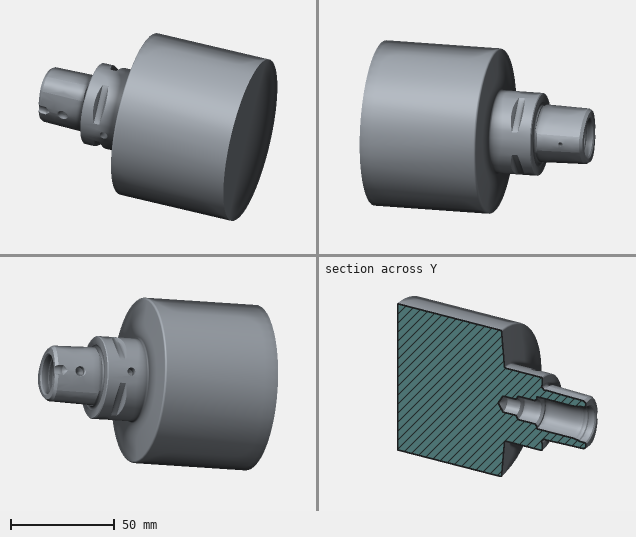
import cadquery as cq
import math

total_length = 104.0
polygon_end = 22.4
flange_face = 24.0
flange_end = 44.8
body_start = 46.5

body_radius = 80.0 / 2
flange_radius = 40.0 / 2
flange_chamfer = 0.4
flange_fillet_radius = 0.8
body_corner_radius = 0.99

lobe_reach = 14.9
flank_reach = 13.1
shank_taper = math.atan(1 / 40)
tip_chamfer = 1.5
tip_chamfer_inset = 0.9

neck_start = 23.5
neck_radius = 13.9
relief_depth = 0.3
relief_bottom_radius = 15.0
relief_outer_radius = 15.8
neck_inset = 0.1
lobe_relief_start = 22.2
lobe_relief_end = 22.9

bore_mouth_radius = 10.1
bore_entry_radius = 9.5
bore_seat_radius = 18.0 / 2
bore_step_radius = 8.7
bore_radius = 8.6
bore_entry_depth = 3.7
bore_seat_depth = 5.6
bore_step_depth = 6.3
bore_step_end = 7.8
bore_depth = 27.0
pilot_mouth_radius = 7.4
pilot_radius = 6.2
pilot_depth = 37.4
drill_radius = 4.3
drill_depth = 45.8
drill_half_angle = math.radians(59)

groove_center = 32.1
groove_floor_width = 2.8
groove_floor_distance = 17.6
groove_wall_angle = math.radians(30)
groove_angles = [45, 135, 225, 315]

notch_radius = 2.5
notch_offset = 13.1
notch_depth = 4.0
notch_half_angle = math.radians(45)
shank_hole_center = 12.6
shank_hole_radius = 2.3
shank_hole_countersink = 0.36
shank_hole_depth = 2.7
flange_hole_center = 36.1
flange_hole_radius = 2.0
flange_hole_depth = 4.2
hole_clearance = 0.5

cross_hole_center = 10.6
cross_hole_radius = 0.99


def revolve_about_x(points):
    """Solid of revolution about X from a closed outline of (x, radius) points."""
    return cq.Workplane("XY").polyline(points).close().revolve(360, (0, 0), (1, 0))


def polygon_section(x, inset):
    """Outline of the three-lobed polygon at x, offset inward by inset."""
    lobe_center = (lobe_reach - flank_reach) / (2 - math.sqrt(3))
    lobe_radius = lobe_reach - lobe_center - inset
    flank_radius = flank_reach + lobe_center - inset

    def point(center_angle, radius, direction):
        center = math.radians(center_angle)
        normal = math.radians(direction)
        return (
            lobe_center * math.cos(center) + radius * math.cos(normal),
            lobe_center * math.sin(center) + radius * math.sin(normal),
        )

    outline = cq.Workplane("YZ", origin=(x, 0, 0)).moveTo(*point(0, lobe_radius, -30))
    for angle in (0, 120, 240):
        outline = outline.threePointArc(
            point(angle, lobe_radius, angle), point(angle, lobe_radius, angle + 30)
        )
        outline = outline.threePointArc(
            point(angle + 240, flank_radius, angle + 60),
            point(angle + 120, lobe_radius, angle + 90),
        )
    return outline.close().wire().val()


def polygon_neck():
    """Untapered, slightly inset stub that joins the polygon to the flange."""
    start = polygon_section(polygon_end, neck_inset)
    end = polygon_section(flange_face, neck_inset)
    return cq.Workplane(cq.Solid.makeLoft([start, end], True))


def polygon_shank():
    """Tapered polygon with a chamfered tip and turned-down lobe ends."""
    def inset_at(x):
        return (polygon_end - x) * math.tan(shank_taper)

    tip = polygon_section(0, inset_at(tip_chamfer) + tip_chamfer_inset)
    shoulder = polygon_section(tip_chamfer, inset_at(tip_chamfer))
    end = polygon_section(polygon_end, inset_at(polygon_end))
    chamfer = cq.Solid.makeLoft([tip, shoulder], True)
    taper = cq.Solid.makeLoft([shoulder, end], True)
    shank = cq.Workplane(chamfer).union(cq.Workplane(taper)).union(polygon_neck())
    envelope = revolve_about_x(
        [
            (0, 0),
            (0, body_radius),
            (lobe_relief_start, body_radius),
            (lobe_relief_start, lobe_reach),
            (lobe_relief_end, neck_radius),
            (flange_face, neck_radius),
            (flange_face, 0),
        ]
    )
    return shank.intersect(envelope)


def turned_body():
    """Neck, relieved flange and large cylindrical body in one turned outline."""
    face_tilt = math.atan((body_start - flange_end) / (body_radius - flange_radius))
    tangent_ratio = math.tan((math.pi / 2 - face_tilt) / 2)
    fillet_length = flange_fillet_radius * tangent_ratio
    corner_length = body_corner_radius * tangent_ratio

    def on_face(x, radius, distance):
        """Point on the tilted face, at a signed distance outward from (x, radius)."""
        return (x + distance * math.sin(face_tilt), radius + distance * math.cos(face_tilt))

    return (
        cq.Workplane("XY")
        .moveTo(neck_start, 0)
        .lineTo(neck_start, neck_radius)
        .threePointArc(
            (flange_face + relief_depth, relief_bottom_radius),
            (flange_face, relief_outer_radius),
        )
        .lineTo(flange_face, flange_radius - flange_chamfer)
        .lineTo(flange_face + flange_chamfer, flange_radius)
        .lineTo(flange_end - fillet_length, flange_radius)
        .tangentArcPoint(on_face(flange_end, flange_radius, fillet_length), relative=False)
        .lineTo(*on_face(body_start, body_radius, -corner_length))
        .tangentArcPoint((body_start + corner_length, body_radius), relative=False)
        .lineTo(total_length, body_radius)
        .lineTo(total_length, 0)
        .close()
        .revolve(360, (0, 0), (1, 0))
    )


def bore():
    """Stepped blind bore that enters from the shank tip."""
    drill_start = pilot_depth + (pilot_radius - drill_radius) / math.tan(drill_half_angle)
    return revolve_about_x(
        [
            (0, 0),
            (0, bore_mouth_radius),
            (bore_mouth_radius - bore_entry_radius, bore_entry_radius),
            (bore_entry_depth, bore_entry_radius),
            (bore_entry_depth + bore_entry_radius - bore_seat_radius, bore_seat_radius),
            (bore_seat_depth, bore_seat_radius),
            (bore_step_depth, bore_step_radius),
            (bore_step_end, bore_radius),
            (bore_depth, bore_radius),
            (bore_depth, pilot_mouth_radius),
            (bore_depth + pilot_mouth_radius - pilot_radius, pilot_radius),
            (pilot_depth, pilot_radius),
            (drill_start, drill_radius),
            (drill_depth, drill_radius),
            (drill_depth + drill_radius / math.tan(drill_half_angle), 0),
        ]
    )


def gripper_groove(angle):
    """Straight trapezoidal groove across the flange, facing the given angle about X."""
    depth = flange_radius - groove_floor_distance
    half_floor = groove_floor_width / 2
    half_mouth = half_floor + depth * math.tan(groove_wall_angle)
    return (
        cq.Workplane("XZ")
        .polyline(
            [
                (groove_center - half_floor, groove_floor_distance),
                (groove_center - half_mouth, flange_radius),
                (groove_center + half_mouth, flange_radius),
                (groove_center + half_floor, groove_floor_distance),
            ]
        )
        .close()
        .extrude(flange_radius, both=True)
        .rotate((0, 0, 0), (1, 0, 0), angle)
    )


def end_notch():
    """Axial cone-bottomed hole that breaks out through the -Y flank at the tip."""
    tip = notch_depth + notch_radius / math.tan(notch_half_angle)
    outline = [(0, 0), (0, notch_radius), (notch_depth, notch_radius), (tip, 0)]
    return revolve_about_x(outline).translate((0, -notch_offset, 0))


def revolve_about_hole(x, surface, points):
    """Solid of revolution about a hole axis along Y, from (radius, depth below surface) points."""
    profile = cq.Workplane("XY").polyline(points).close().revolve(360, (0, 0), (0, 1))
    return profile.translate((x, -surface, 0))


def side_hole(x, surface, radius, depth):
    """Blind cone-bottomed hole drilled along +Y into the surface at y = -surface."""
    tip = depth + radius / math.tan(drill_half_angle)
    outline = [(0, -hole_clearance), (radius, -hole_clearance), (radius, depth), (0, tip)]
    return revolve_about_hole(x, surface, outline)


def countersink(x, surface, radius, width):
    """45 degree cone that widens a hole mouth by width at the surface."""
    mouth = radius + width + hole_clearance
    outline = [(0, -hole_clearance), (mouth, -hole_clearance), (0, radius + width)]
    return revolve_about_hole(x, surface, outline)


def cross_hole():
    """Straight hole along Y from the bore out through the +Y lobe."""
    return (
        cq.Workplane("XZ", origin=(cross_hole_center, 0, 0))
        .circle(cross_hole_radius)
        .extrude(-flange_radius)
    )


shank_hole_surface = flank_reach - (polygon_end - shank_hole_center) * math.tan(shank_taper)

result = turned_body().union(polygon_shank()).cut(bore()).cut(end_notch()).cut(cross_hole())
for groove_angle in groove_angles:
    result = result.cut(gripper_groove(groove_angle))
result = result.cut(
    side_hole(shank_hole_center, shank_hole_surface, shank_hole_radius, shank_hole_depth)
)
result = result.cut(
    countersink(shank_hole_center, shank_hole_surface, shank_hole_radius, shank_hole_countersink)
)
result = result.cut(
    side_hole(flange_hole_center, flange_radius, flange_hole_radius, flange_hole_depth)
)